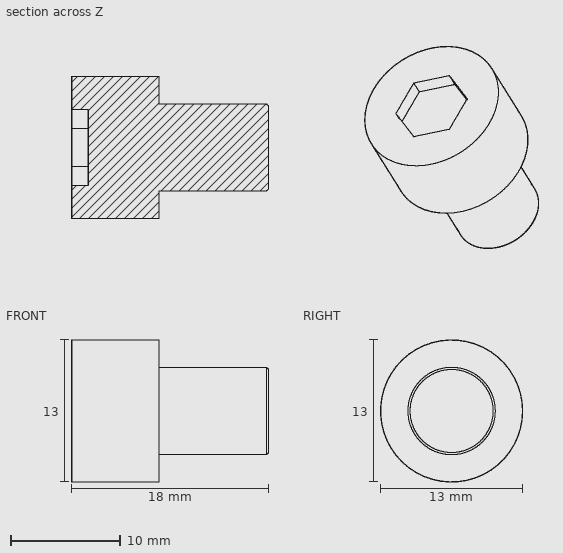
import cadquery as cq
import math

total_length = 18.0
head_diameter = 13.0
head_length = 8.0
shank_diameter = 8.0
tip_chamfer = 0.2
socket_across_flats = 6.0
socket_depth = 1.5


def make_head():
    return cq.Workplane("YZ").circle(head_diameter / 2).extrude(head_length)


def make_shank():
    """Full-length cylinder, chamfered at the free end."""
    shank = cq.Workplane("YZ").circle(shank_diameter / 2).extrude(total_length)
    return shank.faces(">X").chamfer(tip_chamfer)


def make_socket():
    """Hexagonal recess with corners along Y and flats across Z."""
    across_corners = socket_across_flats / math.cos(math.pi / 6)
    return cq.Workplane("YZ").polygon(6, across_corners).extrude(socket_depth)


result = make_head().union(make_shank()).cut(make_socket())